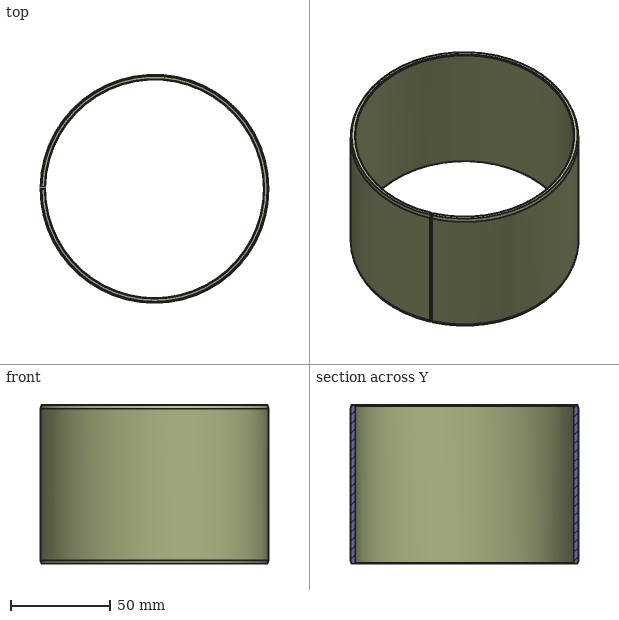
import cadquery as cq
import math

outer_diameter = 115.0
inner_diameter = 110.0
length = 80.0

outer_chamfer_length = 1.8
outer_chamfer_angle = 20.0
inner_chamfer_length = 0.6
inner_chamfer_angle = 30.0

joint_gap = 1.0

outer_radius = outer_diameter / 2
inner_radius = inner_diameter / 2
half_length = length / 2
outer_chamfer_depth = outer_chamfer_length * math.tan(math.radians(outer_chamfer_angle))
inner_chamfer_depth = inner_chamfer_length * math.tan(math.radians(inner_chamfer_angle))


def make_sleeve():
    """Revolve the wall section, chamfered at all four corners, around Z."""
    wall_section = (
        cq.Workplane("XZ")
        .moveTo(inner_radius + inner_chamfer_depth, -half_length)
        .lineTo(outer_radius - outer_chamfer_depth, -half_length)
        .lineTo(outer_radius, -half_length + outer_chamfer_length)
        .lineTo(outer_radius, half_length - outer_chamfer_length)
        .lineTo(outer_radius - outer_chamfer_depth, half_length)
        .lineTo(inner_radius + inner_chamfer_depth, half_length)
        .lineTo(inner_radius, half_length - inner_chamfer_length)
        .lineTo(inner_radius, -half_length + inner_chamfer_length)
        .close()
    )
    return wall_section.revolve(360, (0, 0, 0), (0, 1, 0))


def make_joint_cutter():
    """Block that opens the -X wall over the full length."""
    cutter = cq.Workplane("XY").box(
        outer_diameter, joint_gap, 2 * length, centered=(False, False, True)
    )
    return cutter.translate((-outer_diameter, 0, 0))


result = make_sleeve().cut(make_joint_cutter())